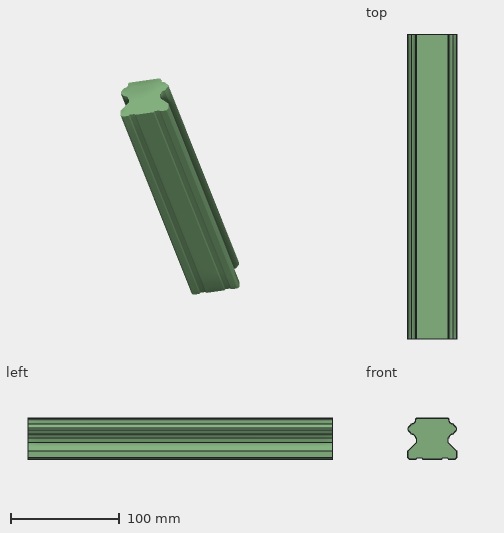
import cadquery as cq
import math

length = 280.0
width = 45.0
height = 38.0
half_width = width / 2

base_chamfer = 1.7
base_side_top = 7.5

relief_outer = 15.0
relief_inner = 8.5
relief_depth = 1.0

waist_half_width = 14.5
waist_bottom = base_side_top + half_width - waist_half_width

lobe_mid = 28.0
lobe_flat = 2.0
lobe_half_width = 22.5
lobe_bottom = lobe_mid - lobe_flat / 2
lobe_top = lobe_mid + lobe_flat / 2

track_radius = 3.5
track_shoulder_offset = 4.8
track_center_x = 19.0
track_wall = track_center_x - track_radius
lower_track_center_z = lobe_mid - track_shoulder_offset - track_radius

land_chamfer = track_wall - waist_half_width


def lower_track_point(angle):
    """Point on the lower track arc, angle in degrees from the +X direction."""
    return (
        track_center_x + track_radius * math.cos(math.radians(angle)),
        lower_track_center_z + track_radius * math.sin(math.radians(angle)),
    )


def upper_track_point(angle):
    """Mirror image of lower_track_point about the lobe's mid-height."""
    x, z = lower_track_point(angle)
    return (x, 2 * lobe_mid - z)


def half_outline():
    """Right half of the cross-section, closed along the centre plane."""
    wall_angle = 180
    middle_angle = 135
    shoulder_angle = 90
    return (
        cq.Workplane("XZ")
        .moveTo(0, 0)
        .lineTo(relief_inner, 0)
        .lineTo(relief_inner + relief_depth, relief_depth)
        .lineTo(relief_outer - relief_depth, relief_depth)
        .lineTo(relief_outer, 0)
        .lineTo(half_width - base_chamfer, 0)
        .lineTo(half_width, base_chamfer)
        .lineTo(half_width, base_side_top)
        .lineTo(waist_half_width, waist_bottom)
        .lineTo(waist_half_width, lower_track_center_z)
        .lineTo(*lower_track_point(wall_angle))
        .threePointArc(lower_track_point(middle_angle), lower_track_point(shoulder_angle))
        .lineTo(lobe_half_width, lobe_bottom)
        .lineTo(lobe_half_width, lobe_top)
        .lineTo(*upper_track_point(shoulder_angle))
        .threePointArc(upper_track_point(middle_angle), upper_track_point(wall_angle))
        .lineTo(track_wall, height - land_chamfer)
        .lineTo(track_wall - land_chamfer, height)
        .lineTo(0, height)
        .close()
    )


half_rail = half_outline().extrude(length / 2, both=True)
result = half_rail.union(half_rail.mirror("YZ")).clean()